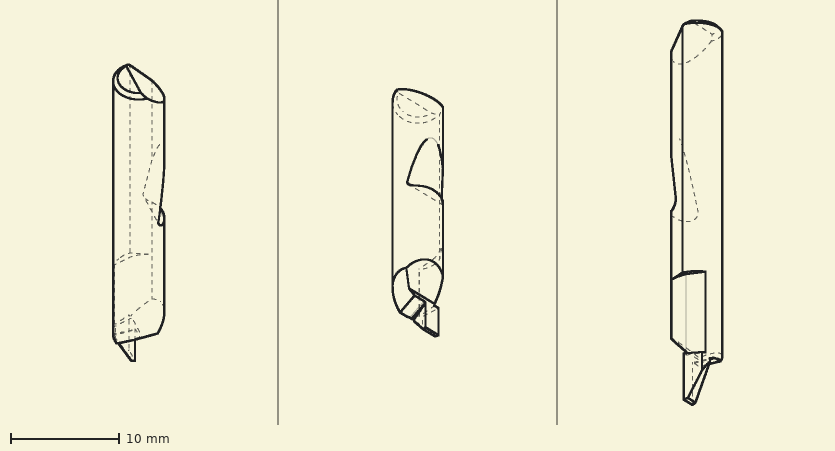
import cadquery as cq
import math

length = 38.1
radius = 2.38
top_chamfer = 0.42
reach = 2 * radius

top_slant_y = -0.515
bottom_slant_z = 4.95

flat_low_y = 0.08
flat_high_y = 1.85

notch_bottom = 19.62
notch_top = 28.4
notch_floor_y = 1.15
notch_corner_radius = 1.03

window_bottom = 4.65
window_top = 12.75
window_middle_x = -1.9
window_front = (-1.45, -1.85)
window_back_y = 1.68
window_back_radius = 4.1

cutting_plane_y = -0.05
tip_right_x = -0.85
shoulder_z = 4.3
shoulder_end_x = 0.4
shoulder_radius = 0.15
side_relief_angle = 22.0
inner_relief_angle = 6.0
tip_land_y = -0.42
tip_land_z = 0.15
back_slope_top = 4.4


def prism_along_x(points):
    """Extrude a closed Y-Z outline across the whole part."""
    return cq.Workplane("YZ").polyline(points).close().extrude(reach, both=True)


def prism_along_z(points, bottom, top):
    """Extrude a closed X-Y outline between two heights."""
    return cq.Workplane("XY").workplane(offset=bottom).polyline(points).close().extrude(top - bottom)


def flat_x(y):
    """X on the locating flat at a given Y."""
    low_x = -math.sqrt(radius**2 - flat_low_y**2)
    high_x = -math.sqrt(radius**2 - flat_high_y**2)
    return low_x + (high_x - low_x) * (y - flat_low_y) / (flat_high_y - flat_low_y)


def make_shank():
    return cq.Workplane("XY").circle(radius).extrude(length).faces(">Z").chamfer(top_chamfer)


def end_slants():
    top = prism_along_x([
        (top_slant_y, length),
        (reach, length - (reach - top_slant_y)),
        (reach, length),
    ])
    bottom = prism_along_x([
        (cutting_plane_y, 0),
        (cutting_plane_y, bottom_slant_z),
        (reach, bottom_slant_z + reach - cutting_plane_y),
        (reach, 0),
    ])
    return top.union(bottom)


def locating_flat():
    return prism_along_z(
        [
            (flat_x(flat_low_y), flat_low_y),
            (flat_x(reach), reach),
            (-reach, reach),
            (-reach, flat_low_y),
        ],
        0, length,
    )


def clamping_notch():
    arc_start_z = notch_bottom + notch_corner_radius
    arc_end_y = notch_floor_y + notch_corner_radius
    bulge = notch_corner_radius * (1 - math.sqrt(0.5))
    return (
        cq.Workplane("YZ")
        .moveTo(radius, notch_top)
        .lineTo(notch_floor_y, arc_start_z)
        .threePointArc((notch_floor_y + bulge, notch_bottom + bulge), (arc_end_y, notch_bottom))
        .lineTo(reach, notch_bottom)
        .lineTo(reach, notch_top)
        .close()
        .extrude(reach, both=True)
    )


def relief_window():
    return (
        cq.Workplane("XY").workplane(offset=window_bottom)
        .moveTo(-reach, window_front[1])
        .lineTo(*window_front)
        .lineTo(window_middle_x, 0)
        .radiusArc((flat_x(window_back_y), window_back_y), window_back_radius)
        .lineTo(-reach, window_back_y)
        .close()
        .extrude(window_top - window_bottom)
    )


def tip_shoulder():
    rise = reach - shoulder_end_x
    return (
        cq.Workplane("XZ")
        .moveTo(tip_right_x, 0)
        .lineTo(tip_right_x, shoulder_z - shoulder_radius)
        .radiusArc((tip_right_x + shoulder_radius, shoulder_z), shoulder_radius)
        .lineTo(shoulder_end_x, shoulder_z)
        .lineTo(reach, shoulder_z + rise)
        .lineTo(reach, 0)
        .close()
        .extrude(reach, both=True)
    )


def tip_side_reliefs():
    outer_shift = reach * math.tan(math.radians(side_relief_angle))
    outer = prism_along_z(
        [(-radius, 0), (-radius + outer_shift, -reach), (-reach, -reach), (-reach, 0)],
        0, window_bottom,
    )
    inner_shift = reach * math.tan(math.radians(inner_relief_angle))
    inner = prism_along_z(
        [(tip_right_x, 0), (tip_right_x - inner_shift, -reach), (tip_right_x, -reach)],
        0, shoulder_z - shoulder_radius,
    )
    return outer.union(inner)


def tip_front_slope():
    return prism_along_x([
        (cutting_plane_y, 0),
        (tip_land_y, tip_land_z),
        (-radius, back_slope_top),
        (-reach, back_slope_top),
        (-reach, 0),
    ])


result = make_shank()
for cutter in (
    end_slants(),
    locating_flat(),
    clamping_notch(),
    relief_window(),
    tip_shoulder(),
    tip_side_reliefs(),
    tip_front_slope(),
):
    result = result.cut(cutter)